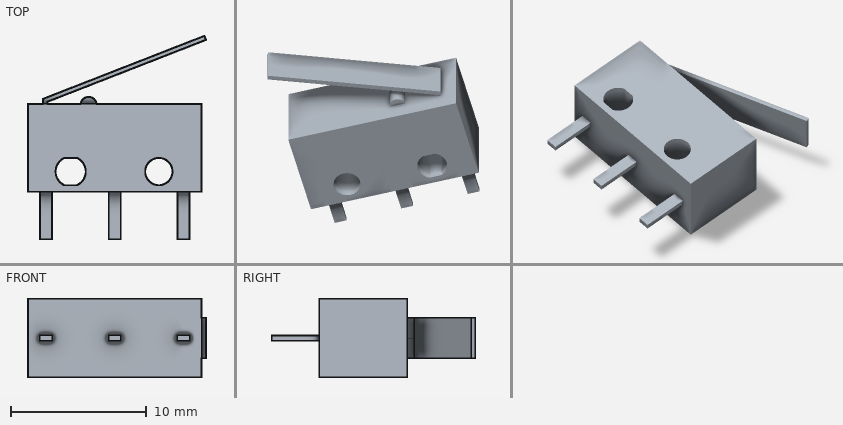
import cadquery as cq
import math

body_length = 12.8
body_depth = 6.5
body_height = 5.8

pin_length = 3.5
pin_width = 0.9
pin_thickness = 0.4
pin_pitch = 5.07

hole_diameter = 2.0
slot_diameter = 2.2
hole_spacing = 6.5
hole_y = 1.5

total_length_y = 15.0
total_length_x = 13.12
lever_width = 3.0
lever_thickness = 0.33
lever_foot_x = 1.1
lever_foot_height = 0.36
lever_angle = math.radians(21.3)

plunger_radius = 0.6
plunger_x = 4.47
plunger_rise = 0.51
plunger_width = lever_width

body_left = -body_length / 2


def make_body():
    return cq.Workplane("XY").box(
        body_length, body_depth, body_height, centered=(True, False, True)
    )


def make_pin(x):
    """Flat terminal projecting from the housing toward -Y."""
    return (
        cq.Workplane("XZ")
        .center(x, 0)
        .rect(pin_width, pin_thickness)
        .extrude(pin_length)
    )


def cut_mounting_holes(body):
    """One round hole and one wider hole with flats at the round hole's height."""
    round_hole = (
        cq.Workplane("XY")
        .center(hole_spacing / 2, hole_y)
        .circle(hole_diameter / 2)
        .extrude(body_height, both=True)
    )
    flats = cq.Workplane("XY").box(slot_diameter, hole_diameter, 2 * body_height)
    flatted_hole = (
        cq.Workplane("XY")
        .circle(slot_diameter / 2)
        .extrude(body_height, both=True)
        .intersect(flats)
        .translate((-hole_spacing / 2, hole_y, 0))
    )
    return body.cut(round_hole).cut(flatted_hole)


def make_lever():
    foot_left = body_left + lever_foot_x
    foot_right = foot_left + lever_thickness
    outer_bend_y = body_depth + lever_foot_height
    inner_bend_y = (
        outer_bend_y
        + lever_thickness * math.tan(lever_angle)
        - lever_thickness / math.cos(lever_angle)
    )
    tip_x = body_left + total_length_x - lever_thickness * math.sin(lever_angle)
    tip_y = total_length_y - pin_length
    lower_tip_x = body_left + total_length_x
    lower_tip_y = tip_y - lever_thickness * math.cos(lever_angle)
    return (
        cq.Workplane("XY")
        .moveTo(foot_left, body_depth)
        .lineTo(foot_left, outer_bend_y)
        .lineTo(tip_x, tip_y)
        .lineTo(lower_tip_x, lower_tip_y)
        .lineTo(foot_right, inner_bend_y)
        .lineTo(foot_right, body_depth)
        .close()
        .extrude(lever_width / 2, both=True)
    )


def make_plunger():
    """Round-topped plunger, sunk into the housing's lever face."""
    return (
        cq.Workplane("XY")
        .center(body_left + plunger_x, body_depth + plunger_rise - plunger_radius)
        .circle(plunger_radius)
        .extrude(plunger_width / 2, both=True)
    )


result = cut_mounting_holes(make_body())
for pin_x in (-pin_pitch, 0, pin_pitch):
    result = result.union(make_pin(pin_x))
result = result.union(make_lever()).union(make_plunger())